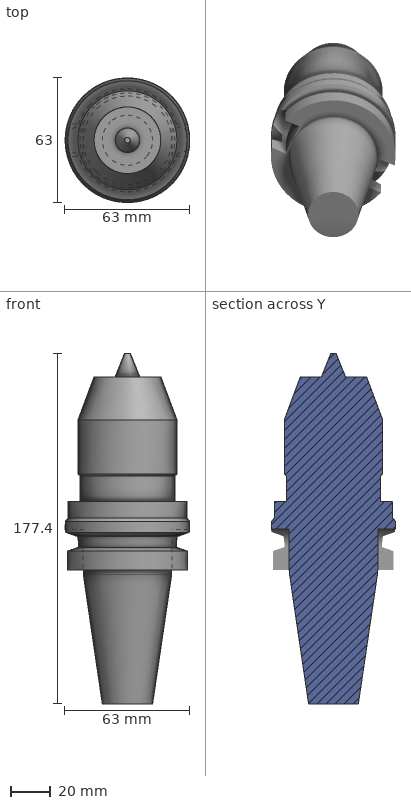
import cadquery as cq

shank_taper_top = 65.6
lower_flange_bottom = 67.8
lower_flange_top = 77.3
groove_bottom = 79.3
groove_top = 84.8
upper_flange_bottom = 87.0
upper_flange_top = 92.5
collar_bottom = 94.0
collar_top = 102.5
head_chamfer_bottom = 115.5
head_bottom = 116.4
nose_bottom = 143.7
nose_top = 165.5
overall_length = 177.4

shank_small_diameter = 25.4
shank_large_diameter = 44.7
flange_diameter = 63.0
groove_diameter = 52.2
collar_diameter = 60.1
neck_diameter = 47.9
head_diameter = 50.0
nose_diameter = 33.7
point_base_diameter = 12.5
point_tip_diameter = 2.8

slot_width = 16.7
slot_floor_distance = 22.5
slot_top = 88.3


def revolved_body():
    """Shank, flanges, collar, chuck head and point as one turned profile."""
    profile = [
        (shank_small_diameter, 0),
        (shank_large_diameter, shank_taper_top),
        (shank_large_diameter, lower_flange_bottom),
        (flange_diameter, lower_flange_bottom),
        (flange_diameter, lower_flange_top),
        (groove_diameter, groove_bottom),
        (groove_diameter, groove_top),
        (flange_diameter, upper_flange_bottom),
        (flange_diameter, upper_flange_top),
        (collar_diameter, collar_bottom),
        (collar_diameter, collar_top),
        (neck_diameter, collar_top),
        (neck_diameter, head_chamfer_bottom),
        (head_diameter, head_bottom),
        (head_diameter, nose_bottom),
        (nose_diameter, nose_top),
        (point_base_diameter, nose_top),
        (point_tip_diameter, overall_length),
    ]
    outline = [(diameter / 2, height) for diameter, height in profile]
    return (
        cq.Workplane("XZ")
        .polyline([(0, 0)] + outline + [(0, overall_length)])
        .close()
        .revolve(360, (0, 0), (0, 1))
    )


def drive_slot(side):
    """Cutter for the slot on the +X (side = 1) or -X (side = -1) face."""
    half_width = slot_width / 2
    arc_center_height = slot_top - half_width
    return (
        cq.Workplane("YZ", origin=(side * slot_floor_distance, 0, 0))
        .moveTo(-half_width, lower_flange_bottom)
        .lineTo(half_width, lower_flange_bottom)
        .lineTo(half_width, arc_center_height)
        .threePointArc((0, slot_top), (-half_width, arc_center_height))
        .close()
        .extrude(side * flange_diameter / 2)
    )


result = revolved_body()
for slot_side in (-1, 1):
    result = result.cut(drive_slot(slot_side))